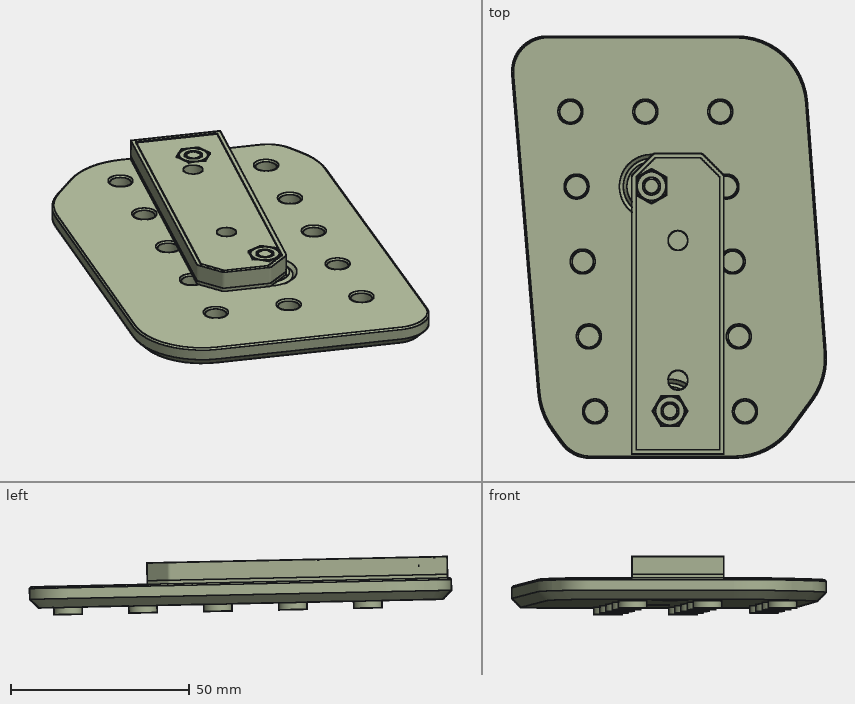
import cadquery as cq
import math

tilt_angle = -1.235

plate_thickness = 6.0
plate_half_length = 59.125
left_slant = 0.0822
right_slant = 0.0745
far_left_x = -44.82
far_right_x = 37.52
near_left_y = -46.7
near_right_y = -37.1
near_edge_left_x = -27.05
near_edge_right_x = 28.5
small_corner_radius = 10.0
large_corner_radius = 20.0
near_left_radius = 21.0


def slanted_x(far_x, slant, y):
    """X at length position y on a long side that starts at far_x on the far edge."""
    return far_x + slant * (plate_half_length - y)


plate_corners = [
    (far_left_x, plate_half_length, small_corner_radius),
    (far_right_x, plate_half_length, large_corner_radius),
    (slanted_x(far_right_x, right_slant, near_right_y), near_right_y, large_corner_radius),
    (near_edge_right_x, -plate_half_length, large_corner_radius),
    (near_edge_left_x, -plate_half_length, small_corner_radius),
    (slanted_x(far_left_x, left_slant, near_left_y), near_left_y, near_left_radius),
]
top_edge_chamfer = 0.5
bottom_edge_bevel = 2.5

grid_pitch = 21.0
grid_rows = 5
grid_columns = 3
grid_far_left = (-27.52, 37.93)
row_shift = left_slant * grid_pitch
blind_hole_diameter = 6.0
blind_hole_depth = 3.3
blind_hole_chamfer = 0.5
stud_diameter = 8.0
stud_height = 2.0
screw_column = 1
screw_rows = (1, 4)

groove_outer_radius = 9.0
groove_valley_radius = 7.9
groove_inner_radius = 6.9
groove_depth = 1.0

block_width = 25.8
block_center_x = 2.6
block_far_y = 26.1
block_near_y = -58.1
block_corner_cut = 6.1
block_corner_radius = 1.2
block_height = 5.0
spacer_height = 1.0
rim_width = 1.2
rim_height = 0.3
mount_hole_diameter = 5.5
mount_hole_ys = (1.75, -37.4)

screw_diameter = 5.0
screw_tip_diameter = 3.96
screw_head_diameter = 10.0
nut_width = 8.0
nut_pocket_width = 8.5
nut_height = 4.0
nut_turns = (30.0, 0.0)
nut_cone_angle = math.radians(30)

block_bottom = plate_thickness + spacer_height
block_floor = block_bottom + block_height - rim_height


def grid_point(column, row):
    far_x, far_y = grid_far_left
    return (far_x + column * grid_pitch + row * row_shift, far_y - row * grid_pitch)


def grid_points():
    return [(column, row) for row in range(grid_rows) for column in range(grid_columns)]


screw_points = [grid_point(screw_column, row) for row in screw_rows]


def make_screw():
    """Screw along Z with its countersunk head flush with the plate bottom."""
    radius = screw_diameter / 2
    head_radius = screw_head_diameter / 2
    tip_radius = screw_tip_diameter / 2
    return (
        cq.Workplane("XZ")
        .polyline(
            [
                (0, 0),
                (head_radius, 0),
                (radius, head_radius - radius),
                (radius, block_floor - (radius - tip_radius)),
                (tip_radius, block_floor),
                (0, block_floor),
            ]
        )
        .close()
        .revolve(360, (0, 0), (0, 1))
    )


def toward(start, end, distance):
    """Point at the given distance from start on the way to end."""
    length = math.dist(start, end)
    return tuple(s + (e - s) * distance / length for s, e in zip(start, end))


def rounded_outline(corners):
    """Closed outline through the corners, each rounded by a tangent arc of its own radius."""
    outline = None
    for index, (x, y, radius) in enumerate(corners):
        corner = (x, y)
        before = corners[index - 1][:2]
        after = corners[(index + 1) % len(corners)][:2]
        half_angle = 0.5 * math.acos(
            sum((b - c) * (a - c) for b, c, a in zip(before, corner, after))
            / (math.dist(before, corner) * math.dist(corner, after))
        )
        tangent_length = radius / math.tan(half_angle)
        arc_start = toward(corner, before, tangent_length)
        arc_end = toward(corner, after, tangent_length)
        chord_middle = tuple((s + e) / 2 for s, e in zip(arc_start, arc_end))
        arc_middle = toward(corner, chord_middle, radius / math.sin(half_angle) - radius)
        outline = outline.lineTo(*arc_start) if outline else cq.Workplane("XY").moveTo(*arc_start)
        outline = outline.threePointArc(arc_middle, arc_end)
    return outline.close()


def make_groove():
    return (
        cq.Workplane("XZ")
        .polyline(
            [
                (groove_inner_radius, plate_thickness),
                (groove_valley_radius, plate_thickness - groove_depth),
                (groove_outer_radius, plate_thickness),
            ]
        )
        .close()
        .revolve(360, (0, 0), (0, 1))
    )


def make_plate():
    plate = rounded_outline(plate_corners).extrude(plate_thickness)
    plate = plate.faces(">Z").chamfer(top_edge_chamfer)
    plate = plate.faces("<Z").chamfer(bottom_edge_bevel)

    holes = [grid_point(c, r) for c, r in grid_points() if c != screw_column or r == 0]
    hole = cq.Workplane("XY").circle(blind_hole_diameter / 2).extrude(blind_hole_depth)
    mouth = (
        cq.Workplane("XY")
        .workplane(offset=blind_hole_depth - blind_hole_chamfer)
        .circle(blind_hole_diameter / 2)
        .workplane(offset=blind_hole_chamfer)
        .circle(blind_hole_diameter / 2 + blind_hole_chamfer)
        .loft()
    )
    cutter = hole.union(mouth)
    for x, y in holes:
        plate = plate.cut(cutter.translate((x, y, plate_thickness - blind_hole_depth)))

    far_right_stud = (grid_columns - 1, 0)
    for column, row in grid_points():
        if (column, row) == far_right_stud:
            continue
        x, y = grid_point(column, row)
        stud = cq.Workplane("XY").circle(stud_diameter / 2).extrude(-stud_height)
        plate = plate.union(stud.translate((x + grid_pitch / 2, y + grid_pitch / 2, 0)))

    for x, y in screw_points:
        plate = plate.cut(make_groove().translate((x, y, 0)))
        plate = plate.cut(make_screw().translate((x, y, 0)))
    return plate


def block_prism(bottom, height):
    """Block outline with the two far corners cut off and their edges rounded."""
    length = block_far_y - block_near_y
    half_width = block_width / 2
    near_corners = [(-half_width, 0), (half_width, 0)]
    far_corners = [
        (half_width, length - block_corner_cut),
        (half_width - block_corner_cut, length),
        (block_corner_cut - half_width, length),
        (-half_width, length - block_corner_cut),
    ]
    prism = cq.Workplane("XY").polyline(near_corners + far_corners).close().extrude(height)
    for x, y in far_corners:
        prism = prism.edges(cq.NearestToPointSelector((x, y, height / 2))).fillet(block_corner_radius)
    return prism.translate((block_center_x, block_near_y, bottom))


def cut_through_holes(body):
    """Cut the open mounting holes and the screw holes."""
    depth = block_bottom + block_height
    mount_points = [(block_center_x, y) for y in mount_hole_ys]
    holes = cq.Workplane("XY").pushPoints(mount_points).circle(mount_hole_diameter / 2).extrude(depth)
    shanks = cq.Workplane("XY").pushPoints(screw_points).circle(screw_diameter / 2).extrude(depth)
    return body.cut(holes).cut(shanks)


def make_spacer():
    return cut_through_holes(block_prism(plate_thickness, spacer_height))


def hexagon_prism(width, turn):
    corner_diameter = width / math.cos(math.pi / 6)
    prism = cq.Workplane("XY").polygon(6, corner_diameter).extrude(nut_height)
    return prism.rotate((0, 0, 0), (0, 0, 1), turn).translate((0, 0, block_floor - nut_height))


def make_block():
    block = cut_through_holes(block_prism(block_bottom, block_height))
    recess = (
        block_prism(block_floor, rim_height)
        .faces(">Z")
        .wires()
        .toPending()
        .offset2D(-rim_width, "intersection")
        .extrude(-rim_height, combine=False)
    )
    block = block.cut(recess)
    for (x, y), turn in zip(screw_points, nut_turns):
        block = block.cut(hexagon_prism(nut_pocket_width, turn).translate((x, y, 0)))
    return block


def make_nut(turn):
    """Hexagon nut whose top corners are turned down to a 30 degree cone."""
    corner_radius = nut_width / 2 / math.cos(math.pi / 6)
    flat_radius = nut_width / 2
    drop = (corner_radius - flat_radius) * math.tan(nut_cone_angle)
    bottom = block_floor - nut_height
    envelope = (
        cq.Workplane("XZ")
        .polyline(
            [
                (0, bottom),
                (corner_radius, bottom),
                (corner_radius, block_floor - drop),
                (flat_radius, block_floor),
                (0, block_floor),
            ]
        )
        .close()
        .revolve(360, (0, 0), (0, 1))
    )
    bore = cq.Workplane("XY").circle(screw_diameter / 2).extrude(block_floor)
    return hexagon_prism(nut_width, turn).intersect(envelope).cut(bore)


plate = make_plate()
spacer = make_spacer()
block = make_block()
screws = [make_screw().translate((x, y, 0)) for x, y in screw_points]
nuts = [make_nut(turn).translate((x, y, 0)) for (x, y), turn in zip(screw_points, nut_turns)]

bodies = [plate, spacer, block, *screws, *nuts]
tilted = [body.rotate((0, 0, 0), (1, 0, 0), tilt_angle) for body in bodies]
result = cq.Compound.makeCompound([body.val() for body in tilted])